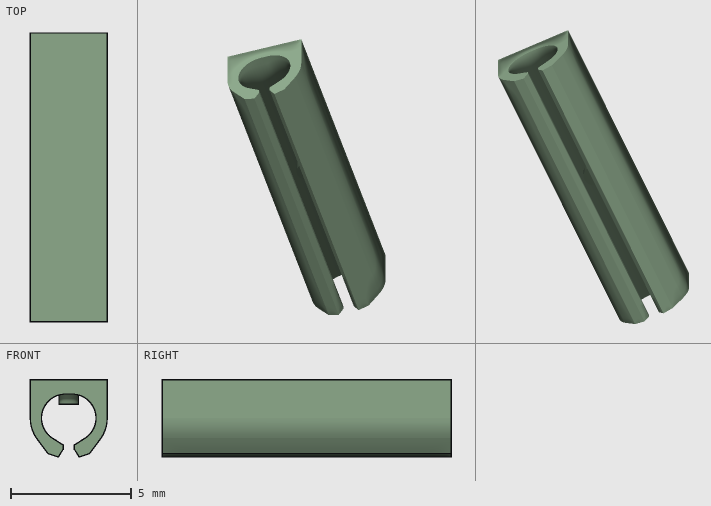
import cadquery as cq
import math

length = 12.0
width = 3.2
top_height = 1.6

axis_offset = 0.13
bore_radius = 1.0
outer_radius = width / 2 - axis_offset
outer_arc_angle = math.radians(34.5)

bore_end_x = 0.75
slot_half_width = 0.23
lip_top_z = -1.12
lip_bottom_z = -1.3
tip_x = 0.43
tip_z = top_height - 3.22
heel_x = 0.86
heel_z = -1.48

peg_diameter = 0.83
peg_bottom_z = 0.56
peg_embed = 0.12


def outer_point(angle):
    """Point on the right outer arc, at an angle below horizontal."""
    return (axis_offset + outer_radius * math.cos(angle), -outer_radius * math.sin(angle))


def half_body():
    """Right half of the clip, extruded along its whole length."""
    bore_end_z = -math.sqrt(bore_radius**2 - (bore_end_x - axis_offset) ** 2)
    profile = (
        cq.Workplane("XZ")
        .moveTo(0, top_height)
        .lineTo(width / 2, top_height)
        .lineTo(*outer_point(0))
        .threePointArc(outer_point(outer_arc_angle / 2), outer_point(outer_arc_angle))
        .lineTo(heel_x, heel_z)
        .lineTo(tip_x, tip_z)
        .lineTo(slot_half_width, lip_bottom_z)
        .lineTo(slot_half_width, lip_top_z)
        .lineTo(bore_end_x, bore_end_z)
        .threePointArc((axis_offset + bore_radius, 0), (axis_offset, bore_radius))
        .lineTo(0, bore_radius)
        .close()
    )
    return profile.extrude(length / 2, both=True)


def peg():
    """Peg at mid-length, sunk slightly into the roof for a sound joint."""
    peg_height = bore_radius + peg_embed - peg_bottom_z
    return (
        cq.Workplane("XY")
        .workplane(offset=peg_bottom_z)
        .circle(peg_diameter / 2)
        .extrude(peg_height)
    )


right_half = half_body()
body = right_half.union(right_half.mirror("YZ"))
result = body.union(peg())